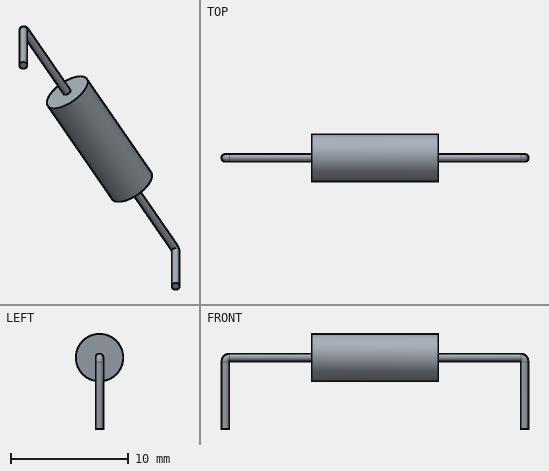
import cadquery as cq

overall_length = 26.2
overall_height = 8.13
body_diameter = 4.05
body_length = 10.82
lead_diameter = 0.68

lead_radius = lead_diameter / 2
bend_radius = lead_radius
body_end = body_length / 2
leg_x = overall_length / 2 - lead_radius
bend_start_x = leg_x - bend_radius
leg_bottom_z = body_diameter / 2 - overall_height
leg_length = -bend_radius - leg_bottom_z


def make_body():
    """Cylindrical component body, centred on the origin along X."""
    return cq.Workplane("YZ").workplane(offset=-body_end).circle(body_diameter / 2).extrude(body_length)


def make_left_lead():
    """Round wire that leaves the -X end of the body and bends straight down."""
    straight = (
        cq.Workplane("YZ", origin=(-bend_start_x, 0, 0))
        .circle(lead_radius)
        .extrude(bend_start_x - body_end)
    )
    leg_top = cq.Workplane("XY", origin=(-leg_x, 0, -bend_radius)).circle(lead_radius)
    bend = leg_top.revolve(90, (bend_radius, 0, 0), (bend_radius, 1, 0))
    leg = cq.Workplane("XY", origin=(-leg_x, 0, leg_bottom_z)).circle(lead_radius).extrude(leg_length)
    return straight.union(bend).union(leg)


def make_lead(side):
    """Lead on the -X side (side = -1) or its mirror image on the +X side (side = 1)."""
    left_lead = make_left_lead()
    return left_lead if side < 0 else left_lead.mirror("YZ")


body = make_body()
leads = [make_lead(side) for side in (-1, 1)]

result = cq.Compound.makeCompound([body.val(), *[lead.solids().val() for lead in leads]])